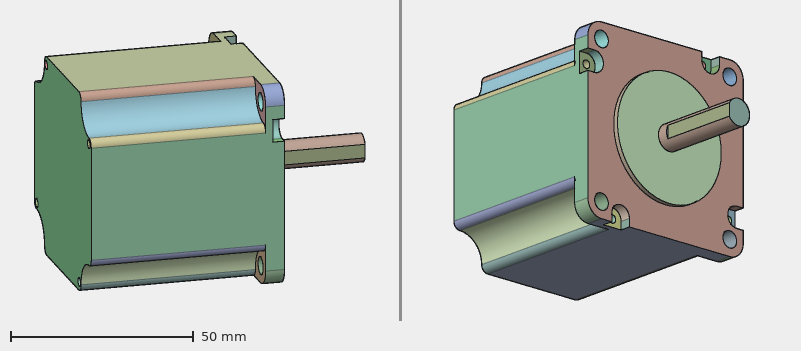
import cadquery as cq
import math

total_length = 85.0
width = 57.0
half_width = width / 2
body_length = 55.0

flange_thickness = 5.4
flange_corner_radius = 4.9
mount_hole_pitch = 47.1
mount_hole_diameter = 5.0

relief_inset = 2.2
relief_radius = 8.0

screw_edge_inset = 2.5
screw_corner_inset = 12.0
screw_hole_diameter = 2.5
screw_head_diameter = 6.5
screw_head_depth = 3.4

pilot_diameter = 38.1
pilot_height = 1.5
shaft_diameter = 8.0
shaft_flat_depth = 0.5
shaft_round_length = 3.3


def plane_at(y):
    """Plane across the motor axis facing +Y; its local x is -X and its local y is +Z."""
    return cq.Workplane(cq.Plane(origin=(0, y, 0), xDir=(-1, 0, 0), normal=(0, 1, 0)))


def corner_relief():
    """Concave cut at the (-X, +Z) corner, blended tangentially into both sides."""
    arc_centre = half_width - relief_inset
    joint = arc_centre - relief_radius
    arc_middle = arc_centre - relief_radius / math.sqrt(2)

    blend_end = joint - relief_inset
    blend_middle_out = arc_centre + relief_inset / math.sqrt(2)
    blend_middle_in = blend_end + relief_inset / math.sqrt(2)

    return (
        plane_at(0)
        .moveTo(half_width, half_width)
        .lineTo(half_width, blend_end)
        .threePointArc((blend_middle_out, blend_middle_in), (arc_centre, joint))
        .threePointArc((arc_middle, arc_middle), (joint, arc_centre))
        .threePointArc((blend_middle_in, blend_middle_out), (blend_end, half_width))
        .close()
        .extrude(body_length - flange_thickness)
    )


def make_body():
    body = plane_at(0).rect(width, width).extrude(body_length)
    body = body.edges("|Y").fillet(flange_corner_radius)
    relief = corner_relief()
    for quarter in range(4):
        body = body.cut(relief.rotate((0, 0, 0), (0, 1, 0), 90 * quarter))
    mount_holes = (
        plane_at(0)
        .rect(mount_hole_pitch, mount_hole_pitch, forConstruction=True)
        .vertices()
        .circle(mount_hole_diameter / 2)
        .extrude(body_length)
    )
    return body.cut(mount_holes)


def cut_screw_seats(body):
    """Through holes whose round-ended front seats open straight out through the flange sides."""
    position = (half_width - screw_corner_inset, half_width - screw_edge_inset)
    hole = plane_at(0).center(*position).circle(screw_hole_diameter / 2).extrude(body_length)
    head = (
        plane_at(body_length - screw_head_depth)
        .center(*position)
        .circle(screw_head_diameter / 2)
        .extrude(screw_head_depth)
    )
    outlet = (
        plane_at(body_length - screw_head_depth)
        .center(position[0], half_width)
        .rect(screw_head_diameter, 2 * screw_edge_inset)
        .extrude(screw_head_depth)
    )
    seat = hole.union(head).union(outlet)
    for quarter in range(4):
        body = body.cut(seat.rotate((0, 0, 0), (0, 1, 0), 90 * quarter))
    return body


def make_shaft():
    """Shaft with a flat on its +X side."""
    shaft = plane_at(body_length).circle(shaft_diameter / 2).extrude(total_length - body_length)
    flat_start = body_length + pilot_height + shaft_round_length
    flat_centre = shaft_diameter - shaft_flat_depth
    flat = (
        plane_at(flat_start)
        .center(-flat_centre, 0)
        .rect(shaft_diameter, shaft_diameter)
        .extrude(total_length - flat_start)
    )
    return shaft.cut(flat)


pilot = plane_at(body_length).circle(pilot_diameter / 2).extrude(pilot_height)
result = cut_screw_seats(make_body()).union(pilot).union(make_shaft())